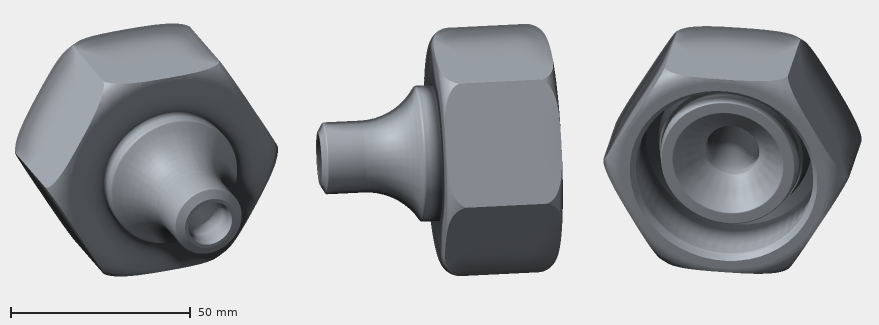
import cadquery as cq
import math


TOTAL_LENGTH = 65.0
SEAT_DIAMETER = 43.0
SHOULDER_START = 23.15

CORNER_WIDTH = 69.3
NUT_LENGTH = 32.5
CORNER_ROUNDING = 5.55
THREAD_DIAMETER = 49.8
MOUTH_DIAMETER = 52.8
MOUTH_ROUNDING = 1.0
NUT_HOLE_DIAMETER = 38.3

NIPPLE_FRONT = 8.0
TIP_DIAMETER = 37.7
TIP_ROUNDING = 0.35
CONE_HALF_ANGLE = 12.0
COLLAR_DIAMETER = 37.9
COLLAR_ROUNDING = 1.0
FLARE_RADIUS = 18.0
STEM_DIAMETER = 20.0
STEM_START = 53.0
WELD_FACE_DIAMETER = 15.0
WELD_BEVEL_ANGLE = 30.0
WELD_ROUNDING = 0.5

FUNNEL_DIAMETER = 31.05
FUNNEL_ROUNDING = 0.5
BORE_DIAMETER = 15.0
BORE_ROUNDING = 1.0
OUTLET_DIAMETER = 13.0
OUTLET_STEP_ANGLE = 20.0

GROOVE_START_DIAMETER = 38.95
GROOVE_WIDTH = 3.25
RING_SECTION_DIAMETER = 2.5

seat_radius = SEAT_DIAMETER / 2
tip_radius = TIP_DIAMETER / 2
cone_slope = math.tan(math.radians(CONE_HALF_ANGLE))
groove_start_radius = GROOVE_START_DIAMETER / 2
groove_start = NIPPLE_FRONT + (groove_start_radius - tip_radius) / cone_slope
groove_floor_radius = groove_start_radius - RING_SECTION_DIAMETER


def turn(profile):
    """Revolve a closed profile, drawn as (x, radius), about the X axis."""
    return profile.close().revolve(360, (0, 0, 0), (1, 0, 0))


def round_rim(body, x, rim_radius, rounding):
    """Fillet the circular edge of the given radius that lies at x."""
    tolerance = 0.001

    def is_rim(edge):
        return abs(edge.Center().x - x) < tolerance and abs(edge.radius() - rim_radius) < tolerance

    return body.edges("%CIRCLE").filter(is_rim).fillet(rounding)


def make_nut():
    corner_radius = CORNER_WIDTH / 2
    hexagon = cq.Workplane("YZ").polygon(6, CORNER_WIDTH).extrude(NUT_LENGTH)

    envelope = (
        cq.Workplane("YZ")
        .circle(corner_radius)
        .extrude(NUT_LENGTH)
        .edges("%CIRCLE")
        .fillet(CORNER_ROUNDING)
    )

    thread_radius = THREAD_DIAMETER / 2
    mouth_radius = MOUTH_DIAMETER / 2
    mouth_depth = mouth_radius - thread_radius
    hole_radius = NUT_HOLE_DIAMETER / 2
    cavity = turn(
        cq.Workplane("XY")
        .moveTo(0, 0)
        .lineTo(0, mouth_radius)
        .lineTo(mouth_depth, thread_radius)
        .lineTo(SHOULDER_START - (thread_radius - seat_radius), thread_radius)
        .lineTo(SHOULDER_START + (seat_radius - hole_radius), hole_radius)
        .lineTo(NUT_LENGTH, hole_radius)
        .lineTo(NUT_LENGTH, 0)
    )
    cavity = round_rim(cavity, mouth_depth, thread_radius, MOUTH_ROUNDING)
    return hexagon.intersect(envelope).cut(cavity)


def make_nipple():
    cone_end = NIPPLE_FRONT + (seat_radius - tip_radius) / cone_slope
    collar_radius = COLLAR_DIAMETER / 2
    stem_radius = STEM_DIAMETER / 2
    weld_face_radius = WELD_FACE_DIAMETER / 2
    bevel_start = TOTAL_LENGTH - (stem_radius - weld_face_radius) * math.tan(math.radians(WELD_BEVEL_ANGLE))

    flare_centre_radius = stem_radius + FLARE_RADIUS
    flare_angle = math.acos((flare_centre_radius - collar_radius) / FLARE_RADIUS)
    flare_start = STEM_START - FLARE_RADIUS * math.sin(flare_angle)
    flare_middle = (
        STEM_START - FLARE_RADIUS * math.sin(flare_angle / 2),
        flare_centre_radius - FLARE_RADIUS * math.cos(flare_angle / 2),
    )

    funnel_radius = FUNNEL_DIAMETER / 2
    bore_radius = BORE_DIAMETER / 2
    outlet_radius = OUTLET_DIAMETER / 2
    funnel_end = NIPPLE_FRONT + funnel_radius - bore_radius
    step_length = (bore_radius - outlet_radius) * math.tan(math.radians(OUTLET_STEP_ANGLE))

    body = turn(
        cq.Workplane("XY")
        .moveTo(NIPPLE_FRONT, funnel_radius)
        .lineTo(NIPPLE_FRONT, tip_radius)
        .lineTo(cone_end, seat_radius)
        .lineTo(SHOULDER_START, seat_radius)
        .lineTo(SHOULDER_START + seat_radius - collar_radius, collar_radius)
        .lineTo(flare_start, collar_radius)
        .threePointArc(flare_middle, (STEM_START, stem_radius))
        .lineTo(bevel_start, stem_radius)
        .lineTo(TOTAL_LENGTH, weld_face_radius)
        .lineTo(TOTAL_LENGTH, outlet_radius)
        .lineTo(STEM_START + step_length, outlet_radius)
        .lineTo(STEM_START, bore_radius)
        .lineTo(funnel_end, bore_radius)
    )
    body = round_rim(body, NIPPLE_FRONT, tip_radius, TIP_ROUNDING)
    body = round_rim(body, NIPPLE_FRONT, funnel_radius, FUNNEL_ROUNDING)
    body = round_rim(body, funnel_end, bore_radius, BORE_ROUNDING)
    body = round_rim(body, flare_start, collar_radius, COLLAR_ROUNDING)
    body = round_rim(body, bevel_start, stem_radius, WELD_ROUNDING)

    groove = (
        cq.Workplane("YZ", origin=(groove_start, 0, 0))
        .circle(seat_radius)
        .circle(groove_floor_radius)
        .extrude(GROOVE_WIDTH)
    )
    return body.cut(groove)


def make_o_ring():
    section_radius = RING_SECTION_DIAMETER / 2
    ring_radius = groove_floor_radius + section_radius
    ring_centre = cq.Vector(groove_start + GROOVE_WIDTH / 2, 0, 0)
    return cq.Workplane(cq.Solid.makeTorus(ring_radius, section_radius, ring_centre, cq.Vector(1, 0, 0)))


nut = make_nut()
nipple = make_nipple()
o_ring = make_o_ring()

result = cq.Compound.makeCompound([nut.solids().val(), nipple.solids().val(), o_ring.val()])